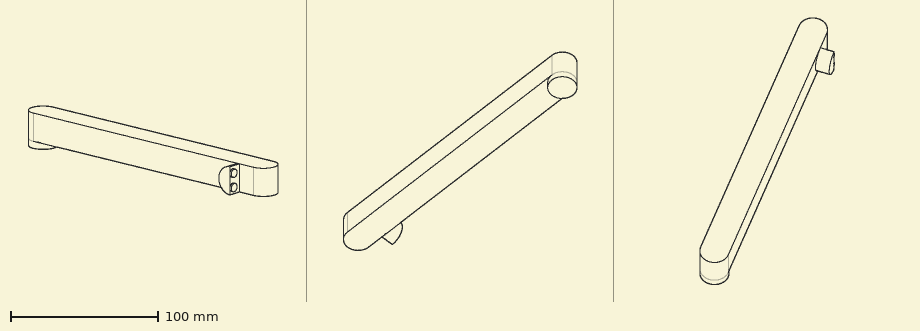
import cadquery as cq

length = 220.0
bar_width = 20.0
bar_height = 20.0
foot_height = 5.0
pin_length = 10.0
pin_inset = 22.9
stud_diameter = 6.0
stud_height = 1.3
stud_spacing = 10.1

end_radius = bar_width / 2
pin_radius = bar_height / 2
front_face = -bar_width / 2
pin_x = length / 2 - pin_inset
pin_z = bar_height / 2
pin_end = front_face - pin_length


def make_bar():
    """Straight bar with fully rounded ends."""
    return cq.Workplane("XY").slot2D(length, bar_width).extrude(bar_height)


def make_foot():
    """Round foot below the -X end, concentric with the end rounding."""
    foot_x = -length / 2 + end_radius
    return cq.Workplane("XY").center(foot_x, 0).circle(end_radius).extrude(-foot_height)


def make_half_pin():
    """Half-round pin on the -Y face, with its flat side facing +X."""
    return (
        cq.Workplane("XZ", origin=(pin_x, front_face, pin_z))
        .moveTo(0, pin_radius)
        .threePointArc((-pin_radius, 0), (0, -pin_radius))
        .close()
        .extrude(pin_length)
    )


def make_stud(side):
    """Small round stud on the pin's flat, tangent to the pin's free end."""
    stud_y = pin_end + stud_diameter / 2
    stud_z = pin_z + side * stud_spacing / 2
    return (
        cq.Workplane("YZ", origin=(pin_x, stud_y, stud_z))
        .circle(stud_diameter / 2)
        .extrude(stud_height)
    )


result = make_bar().union(make_foot()).union(make_half_pin())
for side in (-1, 1):
    result = result.union(make_stud(side))